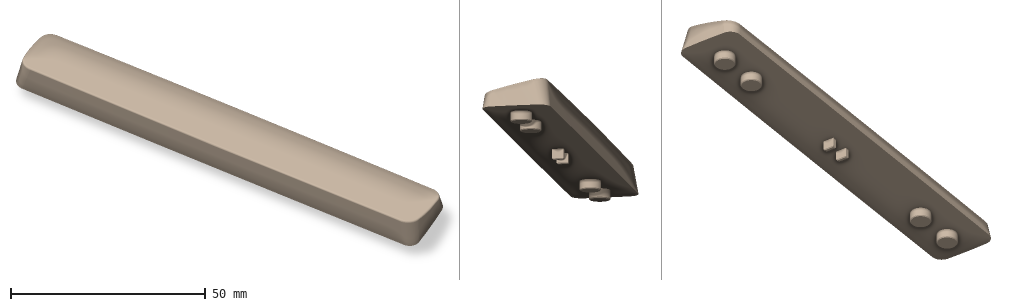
import cadquery as cq
import math

length = 118.0
width = 18.0
base_end_bow = 0.1
top_end_bow = 0.4
base_side_bow = 0.1
top_side_bow = 0.4
base_corner_radius = 3.0
top_corner_radius = 3.9

loft_height = 8.3
front_lean = 1.0
back_lean = 0.7
end_lean = 1.0

slope_angle = 13.0
middle_height = 5.9
top_fillet = 0.5

stem_diameter = 5.5
stem_length = 2.5
stem_chamfer = 0.2
stem_offsets = (38.0, 49.9)

leg_thickness = 1.2
leg_depth = 3.1
leg_length = 2.7
leg_spacing = 5.7
leg_chamfer = 0.2


def rounded_outline(plane, half_length, front_y, back_y, corner_radius, side_bow, end_bow):
    """Four bowed sides joined smoothly by round corners, drawn as eight arcs."""
    middle_y = (front_y + back_y) / 2
    half_width = (back_y - front_y) / 2
    centre_x = half_length - end_bow - corner_radius
    centre_y = half_width - side_bow - corner_radius

    end_lean_angle = 2 * end_bow / centre_y
    side_lean_angle = 2 * side_bow / centre_x
    first_angle = end_lean_angle
    last_angle = math.pi / 2 - side_lean_angle

    def corner_point(angle, x_sign, y_sign):
        x = centre_x + corner_radius * math.cos(angle)
        y = centre_y + corner_radius * math.sin(angle)
        return (x_sign * x, middle_y + y_sign * y)

    def corner(x_sign, y_sign):
        """Corner points from the end of the cap round to its long side."""
        angles = (first_angle, (first_angle + last_angle) / 2, last_angle)
        return [corner_point(angle, x_sign, y_sign) for angle in angles]

    right_end, back_right, right_back = corner(1, 1)
    left_end, back_left, left_back = corner(-1, 1)
    left_front_end, front_left, left_front = corner(-1, -1)
    right_front_end, front_right, right_front = corner(1, -1)
    return (
        plane.moveTo(*left_front)
        .threePointArc((0, front_y), right_front)
        .threePointArc(front_right, right_front_end)
        .threePointArc((half_length, middle_y), right_end)
        .threePointArc(back_right, right_back)
        .threePointArc((0, back_y), left_back)
        .threePointArc(back_left, left_end)
        .threePointArc((-half_length, middle_y), left_front_end)
        .threePointArc(front_left, left_front)
        .close()
    )


def tapered_block():
    """Leaning walls with rounded corners, taller than the finished cap."""
    base = rounded_outline(
        cq.Workplane("XY"),
        length / 2,
        -width / 2,
        width / 2,
        base_corner_radius,
        base_side_bow,
        base_end_bow,
    )
    return rounded_outline(
        base.workplane(offset=loft_height),
        length / 2 - end_lean,
        -width / 2 + front_lean,
        width / 2 - back_lean,
        top_corner_radius,
        top_side_bow,
        top_end_bow,
    ).loft(ruled=True, combine=True)


def cap():
    """Tapered block trimmed by the sloping top plane, with a rounded rim."""
    reach = width
    rise = reach * math.tan(math.radians(slope_angle))
    ceiling = 2 * loft_height
    waste = (
        cq.Workplane("YZ")
        .moveTo(-reach, middle_height + rise)
        .lineTo(reach, middle_height - rise)
        .lineTo(reach, ceiling)
        .lineTo(-reach, ceiling)
        .close()
        .extrude(length, both=True)
    )
    return tapered_block().cut(waste).faces(">Z").edges().fillet(top_fillet)


def stems():
    """Round mounting stems, two toward each end, with chamfered tips."""
    places = [(side * offset, 0) for side in (-1, 1) for offset in stem_offsets]
    return (
        cq.Workplane("XY")
        .pushPoints(places)
        .circle(stem_diameter / 2)
        .extrude(-stem_length)
        .faces("<Z")
        .edges()
        .chamfer(stem_chamfer)
    )


def legs():
    """Two flat legs either side of the middle, with chamfered tips."""
    return (
        cq.Workplane("XY")
        .pushPoints([(-leg_spacing / 2, 0), (leg_spacing / 2, 0)])
        .rect(leg_thickness, leg_depth)
        .extrude(-leg_length)
        .faces("<Z")
        .edges()
        .chamfer(leg_chamfer)
    )


result = cap().union(stems()).union(legs())